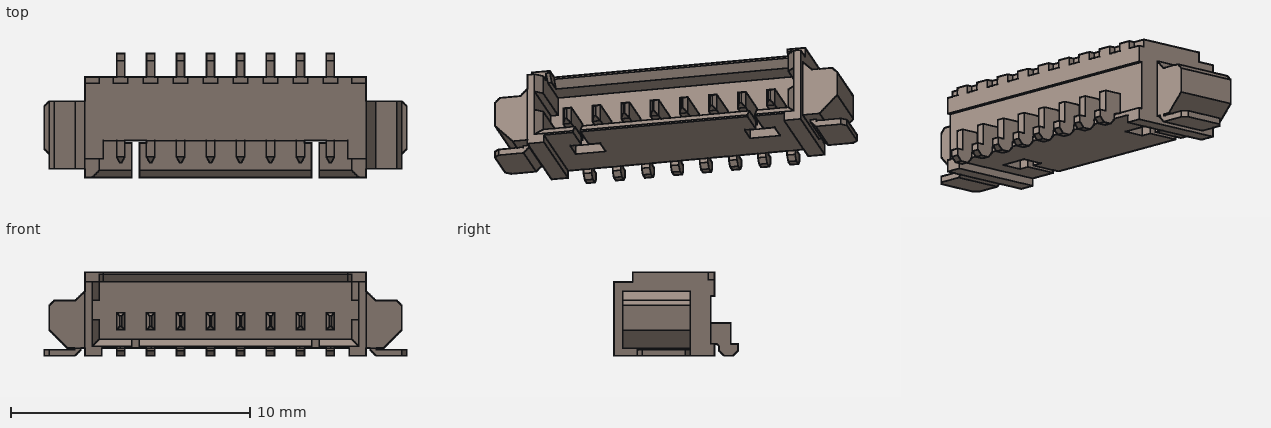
import cadquery as cq


HOUSING_WIDTH = 11.75
HOUSING_DEPTH = 4.21
HOUSING_HEIGHT = 3.5
UNDERSIDE_Z = 0.32
FOOT_WIDTH = 0.71
FRONT_STEP_DEPTH = 0.79
FRONT_STEP_Z = 3.09

CAVITY_WIDTH = 10.55
CAVITY_FLOOR_Z = 0.7
CAVITY_DEPTH = 2.88
LEAD_IN = 0.3
KEYWAY_WIDTH = 11.15
KEYWAY_BOTTOM_Z = 1.5
KEYWAY_TOP_Z = 2.32
ROOF_OPENING_WIDTH = 10.21
ROOF_OPENING_DEPTH = 1.55
ROOF_BEVEL = 0.32

SLOT_WIDTH = 0.32
WINDOW_WIDTH = 1.29
WINDOW_FRONT_Y = 1.45
WINDOW_REAR_Y = 2.42

REAR_RECESS_DEPTH = 0.15
REAR_RECESS_BOTTOM_Z = 0.5
REAR_RECESS_TOP_Z = 2.5
REAR_NOTCH_WIDTH = 0.6
REAR_NOTCH_DEPTH = 0.27
REAR_NOTCH_HEIGHT = 0.32

CONTACT_COUNT = 8
CONTACT_SPAN = 8.75
PITCH = CONTACT_SPAN / (CONTACT_COUNT - 1)
CONTACT_WIDTH = 0.35
BLADE_BOTTOM_Z = 1.09
BLADE_TOP_Z = 1.8
TIP_Y = 0.62
TIP_LENGTH = 0.25
TIP_INSET = 0.14
LEG_TOP_Z = 1.38
LEG_ROOT_DEPTH = 0.15
LEG_REAR_Y = 4.9
CONTACT_REAR_Y = 5.2
LEG_BOTTOM_Z = REAR_RECESS_BOTTOM_Z
SOLDER_FRONT_Y = 4.4
SOLDER_BEVEL = 0.21
LEG_BEND_RADIUS = 0.15

EAR_FRONT_Y = 0.36
EAR_REAR_Y = 3.2
EAR_REACH = 7.36
EAR_ROOT_Z = 2.7
EAR_TOP_Z = 2.32
EAR_ROOT_BEVEL = 0.4
EAR_EDGE_BEVEL = 0.21
EAR_LOWER_BEVEL = 0.75

TAB_REACH = 7.58
TAB_INNER_X = 6.05
TAB_THICKNESS = 0.25
TAB_FRONT_Y = 0.98
TAB_BEND_BEVEL = 0.24
TAB_CORNER_BEVEL = 0.21
TAB_POST_TOP_Z = 0.6

contact_xs = [(i - (CONTACT_COUNT - 1) / 2) * PITCH for i in range(CONTACT_COUNT)]
slot_x = contact_xs[-1] - PITCH / 2


def block(width, y0, y1, z0, z1, x=0):
    """Box of the given width centred on x, between two Y and two Z levels."""
    box = cq.Workplane("XY").box(width, y1 - y0, z1 - z0, centered=(True, False, False))
    return box.translate((x, y0, z0))


def along_x(points, width):
    """Prism centred on X = 0 from an outline of (y, z) points."""
    return cq.Workplane("YZ").polyline(points).close().extrude(width / 2, both=True)


def along_y(points, y0, y1):
    """Prism between two Y levels from an outline of (x, z) points."""
    return cq.Workplane("XZ").polyline(points).close().extrude(y0 - y1).translate((0, y0, 0))


def both_sides(shape):
    """The shape together with its mirror image across X = 0."""
    return shape.union(shape.mirror("YZ"))


def roof_bevel(front_y, width):
    """Wedge that bevels the lower front edge of the roof."""
    rear_y = front_y + ROOF_BEVEL
    outline = [(front_y, FRONT_STEP_Z), (rear_y, FRONT_STEP_Z), (front_y, FRONT_STEP_Z + ROOF_BEVEL)]
    return along_x(outline, width)


def cavity():
    """Volume removed from the housing for the mating plug."""
    hollow = block(CAVITY_WIDTH, 0, CAVITY_DEPTH, CAVITY_FLOOR_Z, FRONT_STEP_Z)
    keyways = block(KEYWAY_WIDTH, 0, CAVITY_DEPTH, KEYWAY_BOTTOM_Z, KEYWAY_TOP_Z)
    mouth_height = FRONT_STEP_Z - CAVITY_FLOOR_Z
    lead_in = (
        cq.Workplane("XZ")
        .center(0, FRONT_STEP_Z)
        .rect(CAVITY_WIDTH + 2 * LEAD_IN, 2 * (mouth_height + LEAD_IN))
        .workplane(offset=-LEAD_IN)
        .rect(CAVITY_WIDTH, 2 * mouth_height)
        .loft(combine=True)
    )
    lead_in = lead_in.intersect(block(HOUSING_WIDTH, 0, LEAD_IN, 0, FRONT_STEP_Z))
    roof_opening = block(ROOF_OPENING_WIDTH, 0, ROOF_OPENING_DEPTH, FRONT_STEP_Z, HOUSING_HEIGHT)
    return (
        hollow.union(keyways)
        .union(lead_in)
        .union(roof_opening)
        .union(roof_bevel(FRONT_STEP_DEPTH, CAVITY_WIDTH))
        .union(roof_bevel(ROOF_OPENING_DEPTH, ROOF_OPENING_WIDTH))
    )


def floor_openings():
    """T-shaped openings: a slot from the mating face that ends in a wider window."""
    slot = block(SLOT_WIDTH, 0, WINDOW_REAR_Y, 0, CAVITY_FLOOR_Z, slot_x)
    window = block(WINDOW_WIDTH, WINDOW_FRONT_Y, WINDOW_REAR_Y, 0, CAVITY_FLOOR_Z, slot_x)
    return both_sides(slot.union(window))


def housing():
    """Hollow shroud that carries the contacts."""
    body = block(HOUSING_WIDTH, 0, HOUSING_DEPTH, 0, HOUSING_HEIGHT)
    body = body.cut(block(HOUSING_WIDTH - 2 * FOOT_WIDTH, 0, HOUSING_DEPTH, 0, UNDERSIDE_Z))
    body = body.cut(block(HOUSING_WIDTH, 0, FRONT_STEP_DEPTH, FRONT_STEP_Z, HOUSING_HEIGHT))
    body = body.cut(cavity()).cut(floor_openings())
    recess_y = HOUSING_DEPTH - REAR_RECESS_DEPTH
    body = body.cut(block(HOUSING_WIDTH, recess_y, HOUSING_DEPTH, REAR_RECESS_BOTTOM_Z, REAR_RECESS_TOP_Z))
    notch_y = HOUSING_DEPTH - REAR_NOTCH_DEPTH
    notch_z = HOUSING_HEIGHT - REAR_NOTCH_HEIGHT
    end_x = (HOUSING_WIDTH - REAR_NOTCH_WIDTH) / 2
    for x in [-end_x, *contact_xs, end_x]:
        body = body.cut(block(REAR_NOTCH_WIDTH, notch_y, HOUSING_DEPTH, notch_z, HOUSING_HEIGHT, x))
    return body


def contact(x):
    """Blade with a tapered tip in front and a solder leg behind the housing."""
    recess_y = HOUSING_DEPTH - REAR_RECESS_DEPTH
    blade = block(CONTACT_WIDTH, TIP_Y + TIP_LENGTH, recess_y, BLADE_BOTTOM_Z, BLADE_TOP_Z)
    blade_height = BLADE_TOP_Z - BLADE_BOTTOM_Z
    tip = (
        cq.Workplane("XZ", origin=(0, TIP_Y, (BLADE_BOTTOM_Z + BLADE_TOP_Z) / 2))
        .rect(CONTACT_WIDTH - 2 * TIP_INSET, blade_height - 2 * TIP_INSET)
        .workplane(offset=-TIP_LENGTH)
        .rect(CONTACT_WIDTH, blade_height)
        .loft(combine=True)
    )
    leg_front_y = recess_y - LEG_ROOT_DEPTH
    bend_y = SOLDER_FRONT_Y - LEG_BEND_RADIUS
    leg = (
        cq.Workplane("YZ")
        .moveTo(leg_front_y, LEG_BOTTOM_Z)
        .lineTo(leg_front_y, LEG_TOP_Z)
        .lineTo(LEG_REAR_Y, LEG_TOP_Z)
        .lineTo(LEG_REAR_Y, LEG_BOTTOM_Z)
        .lineTo(CONTACT_REAR_Y, LEG_BOTTOM_Z)
        .lineTo(CONTACT_REAR_Y, SOLDER_BEVEL)
        .lineTo(CONTACT_REAR_Y - SOLDER_BEVEL, 0)
        .lineTo(SOLDER_FRONT_Y + SOLDER_BEVEL, 0)
        .lineTo(SOLDER_FRONT_Y, SOLDER_BEVEL)
        .lineTo(SOLDER_FRONT_Y, LEG_BOTTOM_Z - LEG_BEND_RADIUS)
        .radiusArc((bend_y, LEG_BOTTOM_Z), -LEG_BEND_RADIUS)
        .close()
        .extrude(CONTACT_WIDTH / 2, both=True)
    )
    return blade.union(tip).union(leg).translate((x, 0, 0))


def ear():
    """Bevelled ear on the +X side."""
    root_x = HOUSING_WIDTH / 2
    outline = [
        (root_x, UNDERSIDE_Z),
        (root_x, EAR_ROOT_Z),
        (root_x + EAR_ROOT_BEVEL, EAR_TOP_Z),
        (EAR_REACH - EAR_EDGE_BEVEL, EAR_TOP_Z),
        (EAR_REACH, EAR_TOP_Z - EAR_EDGE_BEVEL),
        (EAR_REACH, UNDERSIDE_Z + EAR_LOWER_BEVEL),
        (EAR_REACH - EAR_LOWER_BEVEL, UNDERSIDE_Z),
    ]
    return along_y(outline, EAR_FRONT_Y, EAR_REAR_Y)


def solder_tab():
    """L-shaped tab: flat on the board, with its post running up into the ear."""
    post_outer_x = TAB_INNER_X + TAB_THICKNESS
    outline = [
        (TAB_REACH, 0),
        (TAB_REACH, TAB_THICKNESS),
        (post_outer_x, TAB_THICKNESS),
        (post_outer_x, TAB_POST_TOP_Z),
        (TAB_INNER_X, TAB_POST_TOP_Z),
        (TAB_INNER_X, TAB_BEND_BEVEL),
        (TAB_INNER_X + TAB_BEND_BEVEL, 0),
    ]
    tab = along_y(outline, TAB_FRONT_Y, EAR_REAR_Y)
    return tab.edges("|Z and >X").chamfer(TAB_CORNER_BEVEL)


result = housing()
result = result.union(both_sides(ear().union(solder_tab())))
for contact_x in contact_xs:
    result = result.union(contact(contact_x))